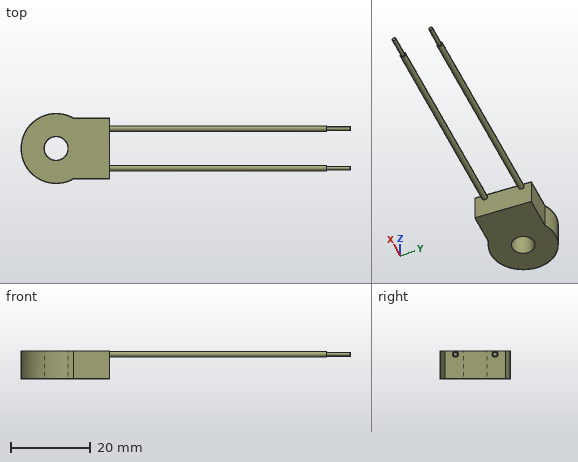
import cadquery as cq

total_length = 83.4

ring_diameter = 17.8
body_height = 7.1
body_length = 22.4
block_width = 15.4
hole_diameter = 6.0

wire_spacing = 10.0
wire_diameter = 1.5
wire_axis_depth = 0.8
core_diameter = 1.0
stripped_length = 6.0

ring_radius = ring_diameter / 2
block_end_x = body_length - ring_radius
wire_tip_x = total_length - ring_radius
insulation_end_x = wire_tip_x - stripped_length
wire_axis_z = body_height - wire_axis_depth


def make_body():
    ring = cq.Workplane("XY").circle(ring_radius).extrude(body_height)
    block = cq.Workplane("XY").box(
        block_end_x, block_width, body_height, centered=(False, True, False)
    )
    hole = cq.Workplane("XY").circle(hole_diameter / 2).extrude(body_height)
    return ring.union(block).cut(hole)


def make_rod(diameter, start_x, end_x, axis_y):
    return (
        cq.Workplane("YZ", origin=(start_x, axis_y, wire_axis_z))
        .circle(diameter / 2)
        .extrude(end_x - start_x)
    )


def make_wire(axis_y):
    insulation = make_rod(wire_diameter, block_end_x, insulation_end_x, axis_y)
    stripped_core = make_rod(core_diameter, insulation_end_x, wire_tip_x, axis_y)
    return insulation.union(stripped_core)


result = make_body()
for side in (-1, 1):
    result = result.union(make_wire(side * wire_spacing / 2))